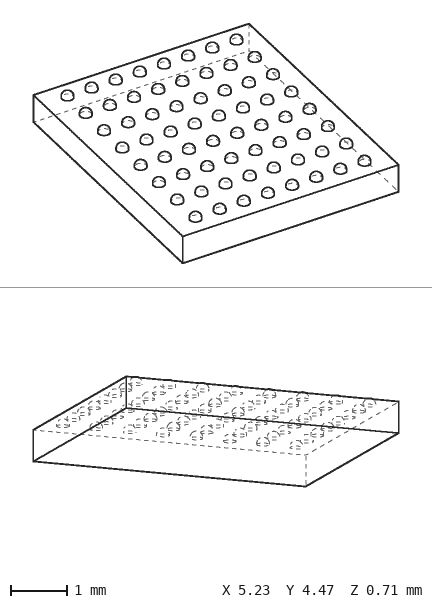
import cadquery as cq

body_length = 5.23
body_width = 4.47
body_height = 0.58
back_edge_drop = 0.0075

ball_columns = 8
ball_rows = 8
grid_length = 4.48
grid_width = 3.5
ball_diameter = 0.23
total_height = 0.71

column_pitch = grid_length / (ball_columns - 1)
row_pitch = grid_width / (ball_rows - 1)
ball_radius = ball_diameter / 2
ball_center_z = total_height - ball_radius


def make_body():
    right = body_length / 2
    left = -right
    back = body_width / 2
    front = -back
    corners = [(left, front), (right, front), (right, back), (left, back - back_edge_drop)]
    return cq.Workplane("XY").polyline(corners).close().extrude(body_height)


def make_balls():
    return (
        cq.Workplane("XY", origin=(0, 0, ball_center_z))
        .rarray(column_pitch, row_pitch, ball_columns, ball_rows)
        .sphere(ball_radius)
    )


result = make_body().union(make_balls())